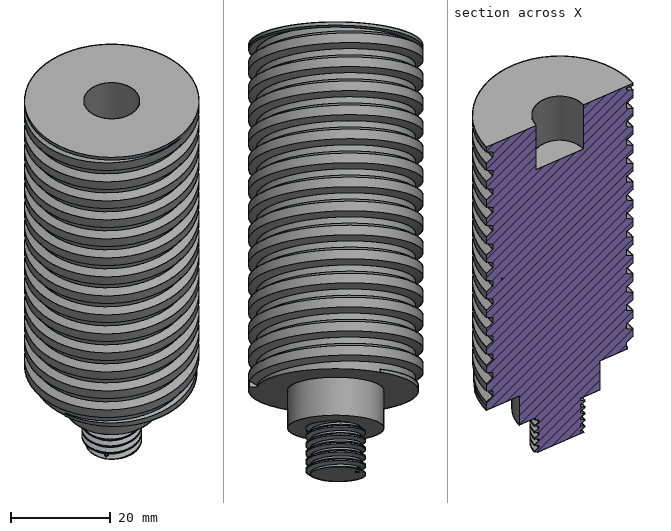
import cadquery as cq
import math

BODY_DIAMETER = 35.0
BODY_ROOT_DIAMETER = 32.0
BODY_LENGTH = 71.75
BODY_PITCH = 5.0
BODY_CREST_WIDTH = 2.0
BODY_RIDGE_BASE = 3.7
BODY_THREAD_RISE = 0.08
BODY_FADE_TURNS = 0.5
BODY_FADE_START = -0.25
BODY_FADE_RATIO = 0.1
GROOVE_STOP_HEIGHT = 1.2
GROOVE_STOP_START = 70.0
GROOVE_STOP_END = 155.0
RIM_THICKNESS = 0.7

BORE_DIAMETER = 11.2
BORE_DEPTH = 12.0

COLLAR_DIAMETER = 19.3
COLLAR_LENGTH = 7.9
STUD_DIAMETER = 12.0
STUD_PITCH = 1.75
STUD_LENGTH = 9.6
STUD_THREAD_DEPTH = 5 / 8 * STUD_PITCH * math.cos(math.radians(30))
STUD_CREST_WIDTH = STUD_PITCH / 6
STUD_RIDGE_BASE = 3 / 4 * STUD_PITCH
STUD_THREAD_RISE = 0.18

PIP_DIAMETER = 0.8
PIP_HEIGHT = 0.27
PIP_ROOT = 0.5
PIP_RADIUS = 5.1
PIP_ANGLE = -66.0

SINK = 0.2
OVERRUN_TURNS = 0.5
TRIM_MARGIN = 2.0


def cylinder(diameter, bottom, height):
    return cq.Workplane("XY").workplane(offset=bottom).circle(diameter / 2).extrude(height)


def helix(pitch, turns, start_radius, end_radius, start_z, end_z):
    """Right-handed helix from +X whose radius and own lead may change along its length."""
    rise = end_z - start_z
    growth = end_radius - start_radius
    if growth == 0:
        wire = cq.Wire.makeHelix(rise / turns, rise, start_radius)
    else:
        slope = math.hypot(rise, growth)
        taper = math.degrees(math.atan2(growth, rise))
        wire = cq.Wire.makeHelix(slope / turns, slope, start_radius, angle=taper)
    return wire.translate(cq.Vector(0, 0, start_z))


def ridge_section(pitch, turns, start_corners, end_corners):
    """Solid between four helices that join matching (radius, z) corners."""
    rails = [
        helix(pitch, turns, r0, r1, z0, z1 + pitch * turns)
        for (r0, z0), (r1, z1) in zip(start_corners, end_corners)
    ]
    faces = [
        cq.Face.makeRuledSurface(rails[i], rails[(i + 1) % len(rails)])
        for i in range(len(rails))
    ]
    for at_end in (0, 1):
        corners = [rail.positionAt(at_end) for rail in rails]
        faces.append(cq.Face.makeFromWires(cq.Wire.makePolygon(corners, close=True)))
    return cq.Solid.makeSolid(cq.Shell.makeShell(faces))


def ridge_profile(root_radius, crest_radius, crest_width, base_width, height_ratio):
    """Trapezoid of a ridge as (radius, z) corners, cut off at a ratio of its full height."""
    depth = crest_radius - root_radius
    flank_slope = (base_width - crest_width) / 2 / depth
    foot = root_radius - SINK
    crest = root_radius + height_ratio * depth
    foot_half = base_width / 2 + SINK * flank_slope
    crest_half = base_width / 2 - height_ratio * depth * flank_slope
    return [(foot, -foot_half), (crest, -crest_half), (crest, crest_half), (foot, foot_half)]


def place_ridge(ridge, pitch, start_turn, crossing_z):
    """Start a ridge at start_turn from +X, on a thread whose centre crosses +X at crossing_z."""
    start_angle = 360 * start_turn
    start_z = crossing_z + pitch * start_turn
    return cq.Workplane(obj=ridge).rotate((0, 0, 0), (0, 0, 1), start_angle).translate((0, 0, start_z))


def make_groove_stop():
    inner = BODY_ROOT_DIAMETER / 2 - SINK
    outer = BODY_DIAMETER / 2
    corners = [(inner, 0), (outer, 0), (outer, GROOVE_STOP_HEIGHT), (inner, GROOVE_STOP_HEIGHT)]
    section = cq.Workplane("XZ").polyline(corners).close()
    sector = section.revolve(GROOVE_STOP_END - GROOVE_STOP_START, (0, 0, 0), (0, 1, 0))
    return sector.rotate((0, 0, 0), (0, 0, 1), GROOVE_STOP_START)


def make_body():
    root_radius = BODY_ROOT_DIAMETER / 2
    crest_radius = BODY_DIAMETER / 2
    full = ridge_profile(root_radius, crest_radius, BODY_CREST_WIDTH, BODY_RIDGE_BASE, 1)
    tip = ridge_profile(root_radius, crest_radius, BODY_CREST_WIDTH, BODY_RIDGE_BASE, BODY_FADE_RATIO)
    main_start = BODY_FADE_START + BODY_FADE_TURNS
    main_turns = BODY_LENGTH / BODY_PITCH - main_start + OVERRUN_TURNS

    fade = ridge_section(BODY_PITCH, BODY_FADE_TURNS, tip, full)
    main = ridge_section(BODY_PITCH, main_turns, full, full)
    ridge = place_ridge(fade, BODY_PITCH, BODY_FADE_START, BODY_THREAD_RISE).union(
        place_ridge(main, BODY_PITCH, main_start, BODY_THREAD_RISE)
    )
    ridge = ridge.intersect(cylinder(BODY_DIAMETER + TRIM_MARGIN, 0, BODY_LENGTH))

    core = cylinder(BODY_ROOT_DIAMETER, 0, BODY_LENGTH)
    rim = cylinder(BODY_DIAMETER, BODY_LENGTH - RIM_THICKNESS, RIM_THICKNESS)
    return core.union(ridge).union(make_groove_stop()).union(rim)


def make_stud():
    bottom = -COLLAR_LENGTH - STUD_LENGTH
    crest_radius = STUD_DIAMETER / 2
    root_radius = crest_radius - STUD_THREAD_DEPTH
    full = ridge_profile(root_radius, crest_radius, STUD_CREST_WIDTH, STUD_RIDGE_BASE, 1)
    turns = STUD_LENGTH / STUD_PITCH + 2 * OVERRUN_TURNS

    ridge = ridge_section(STUD_PITCH, turns, full, full)
    ridge = place_ridge(ridge, STUD_PITCH, -OVERRUN_TURNS, bottom + STUD_THREAD_RISE)
    trim_height = STUD_LENGTH + COLLAR_LENGTH / 2
    ridge = ridge.intersect(cylinder(STUD_DIAMETER + TRIM_MARGIN, bottom, trim_height))
    core = cylinder(2 * root_radius, bottom, STUD_LENGTH)

    pip_angle = math.radians(PIP_ANGLE)
    pip_x = PIP_RADIUS * math.cos(pip_angle)
    pip_y = PIP_RADIUS * math.sin(pip_angle)
    pip = cylinder(PIP_DIAMETER, bottom - PIP_HEIGHT, PIP_HEIGHT + PIP_ROOT)
    return core.union(ridge).union(pip.translate((pip_x, pip_y, 0)))


body = make_body()
collar = cylinder(COLLAR_DIAMETER, -COLLAR_LENGTH, COLLAR_LENGTH)
stud = make_stud()
bore = cylinder(BORE_DIAMETER, BODY_LENGTH - BORE_DEPTH, BORE_DEPTH)

result = body.union(collar).union(stud).cut(bore)